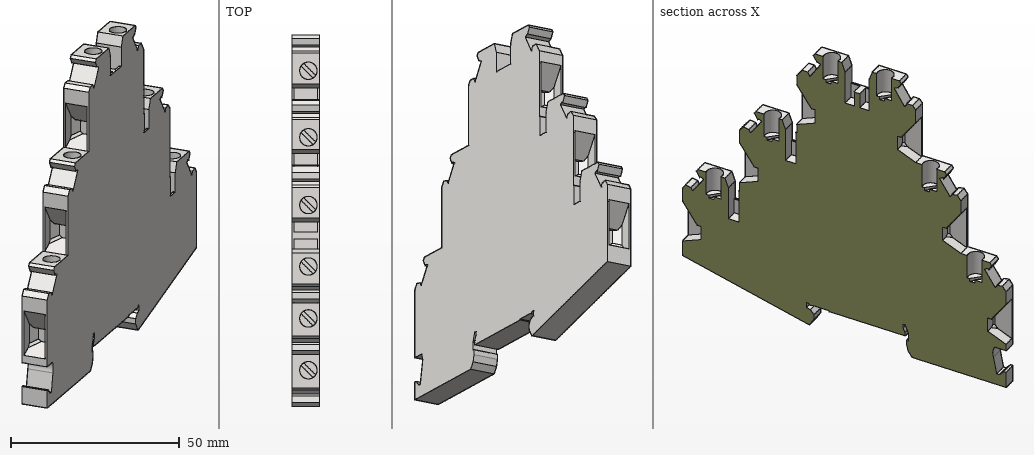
import cadquery as cq


THICKNESS = 8.15
LENGTH = 110.0
HEIGHT = 98.15

DECK_PITCH = 27.5
DECK_TOPS = [HEIGHT - step * DECK_PITCH for step in (2, 1, 0)]
FRONT_WALL_PITCH = 15.33
FRONT_WALLS = [step * FRONT_WALL_PITCH for step in (0, 1, 2)]
BACK_WALL_PITCH = 19.4
BACK_WALLS = [LENGTH - step * BACK_WALL_PITCH for step in (0, 1, 2)]

FRONT_LIP_INSETS = [4.85, 4.85, 4.9]
BACK_LIP_INSETS = [4.7, 5.0, 5.65]

LIP_PROFILE = [
    (0.65, 0.0),
    (0.0, 0.9),
    (1.1, 2.9),
    (1.4, 2.5),
    (2.4, 3.0),
    (-1.2, 8.35),
]
TOP_LIP_PROFILE = [
    (0.65, 0.0),
    (0.0, 0.9),
    (1.1, 2.75),
    (2.4, 3.3),
    (-1.1, 8.7),
]
CREST_PROFILE = [(-1.75, 7.3), (-3.6, 6.95)]
TOP_CREST_PROFILE = [(-1.8, 7.35), (-3.8, 7.35)]
CREST_END_DEPTH = 8.6
TOP_BACK_CREST_END_DEPTH = 10.0

SLOT_DEPTH = 9.2
SLOT_TAPER_DEPTH = 3.1
SLOT_TAPER_RUN = 1.15
DECK_SLOT_WIDTH = 3.4
SLOT_WALL_SETBACK = 0.3
TOP_SLOT_FRONT = 46.65
TOP_SLOT_BACK = 54.65
POCKET_LENGTH = 3.0
POCKET_DEPTH = 5.0
SIDE_WALL = 0.65

SCREW_DIAMETER = 5.15
SCREW_X = 4.85
SCREW_DEPTH = 8.0
LIP_TO_SCREW = 5.9
DRIVER_SLOT_WIDTH = 1.1
DRIVER_SLOT_DEPTH = 1.0
DRIVER_SLOT_ANGLE = -45

WINDOW_TOP_DEPTH = 13.3
WINDOW_BOTTOM_DEPTH = DECK_PITCH
ROOF_RUN = 5.0
ROOF_END_DEPTH = 20.3
FUNNEL_RUN = 6.2
FUNNEL_FLOOR_DEPTH = 24.9
FUNNEL_MOUTH_WIDTH = 15.8
FUNNEL_END_WIDTH = 4.35
FUNNEL_CORNER_WIDTH = 0.85
FUNNEL_CORNER_HEIGHT = 0.7

FRONT_CLIP = [
    (0, 0),
    (0, 5.6),
    (0.8, 5.6),
    (2.3, 4.0),
    (3.15, 4.0),
    (4.25, 9.7),
]
FRONT_CLIP_ARC_MIDDLE = (4.45, 11.6)
FRONT_CLIP_TOP = (3.9, 13.2)
BACK_WALL_BOTTOM_Z = 10.3
RAIL_RECESS = [
    (67.3, 0.0),
    (66.8, 0.0),
    (65.2, 2.6),
    (65.2, 4.3),
    (66.5, 5.6),
    (67.8, 6.0),
    (67.8, 7.6),
    (67.2, 7.6),
    (66.5, 7.0),
    (65.9, 7.25),
    (60.2, 7.25),
    (60.2, 6.95),
    (34.3, 6.95),
    (34.3, 8.3),
    (35.0, 9.8),
    (35.0, 10.9),
    (34.3, 10.9),
    (33.3, 8.1),
    (33.3, 5.6),
    (33.9, 5.6),
    (33.9, 4.0),
    (33.4, 1.9),
]
FOOT_HEEL = (32.0, 0.0)


def clamp_points(deck, wall, inset, inward):
    """Outline of one clamp from its lip to its wall; inward is +1 at the front and -1 at the back."""
    is_top = deck == len(DECK_TOPS) - 1
    lip = TOP_LIP_PROFILE if is_top else LIP_PROFILE
    crest = TOP_CREST_PROFILE if is_top else CREST_PROFILE
    end_depth = TOP_BACK_CREST_END_DEPTH if is_top and inward < 0 else CREST_END_DEPTH
    top = DECK_TOPS[deck]
    points = [(wall + inward * (inset + run), top - depth) for run, depth in lip + crest]
    return points + [(wall, top - end_depth)]


def deck_slot_points(deck):
    """Bridge slot between a back clamp and the wall of the deck above it."""
    top = DECK_TOPS[deck]
    wall = BACK_WALLS[deck + 1]
    slot_front = wall + SLOT_WALL_SETBACK
    slot_back = slot_front + DECK_SLOT_WIDTH
    return [
        (wall, top - SLOT_TAPER_DEPTH),
        (slot_front, top - SLOT_TAPER_DEPTH),
        (slot_front, top - SLOT_DEPTH),
        (slot_back, top - SLOT_DEPTH),
        (slot_back, top - SLOT_TAPER_DEPTH),
        (slot_back + SLOT_TAPER_RUN, top),
    ]


def top_slot_points():
    """Wide bridge slot between the two top clamps."""
    taper_z = HEIGHT - SLOT_TAPER_DEPTH
    floor_z = HEIGHT - SLOT_DEPTH
    return [
        (TOP_SLOT_FRONT - SLOT_TAPER_RUN, HEIGHT),
        (TOP_SLOT_FRONT, taper_z),
        (TOP_SLOT_FRONT, floor_z),
        (TOP_SLOT_BACK, floor_z),
        (TOP_SLOT_BACK, taper_z),
        (TOP_SLOT_BACK + SLOT_TAPER_RUN, HEIGHT),
    ]


def side_outline():
    """Stepped side outline, from the front clip up over the clamps and back along the rail foot."""
    upper = [(0, FRONT_CLIP_TOP[1])]
    for deck, wall in enumerate(FRONT_WALLS):
        if deck > 0:
            upper.append((wall, DECK_TOPS[deck - 1]))
        upper += reversed(clamp_points(deck, wall, FRONT_LIP_INSETS[deck], 1))
    upper += top_slot_points()
    for deck in reversed(range(len(BACK_WALLS))):
        upper += clamp_points(deck, BACK_WALLS[deck], BACK_LIP_INSETS[deck], -1)
        if deck > 0:
            upper += deck_slot_points(deck - 1)
    upper.append((LENGTH, BACK_WALL_BOTTOM_Z))

    outline = cq.Workplane("YZ").polyline(FRONT_CLIP)
    outline = outline.threePointArc(FRONT_CLIP_ARC_MIDDLE, FRONT_CLIP_TOP)
    for point in upper + RAIL_RECESS + [FOOT_HEEL]:
        outline = outline.lineTo(*point)
    return outline.close()


def screw_hole(y, top):
    """Round hole that ends on a screw head with a diagonal driver slot."""
    floor = cq.Workplane("XY", origin=(SCREW_X, y, top - SCREW_DEPTH))
    hole = floor.circle(SCREW_DIAMETER / 2).extrude(SCREW_DEPTH)
    head = floor.circle(SCREW_DIAMETER / 2).extrude(-DRIVER_SLOT_DEPTH)
    slot_bar = (
        floor.transformed(rotate=(0, 0, DRIVER_SLOT_ANGLE))
        .rect(2 * SCREW_DIAMETER, DRIVER_SLOT_WIDTH)
        .extrude(-DRIVER_SLOT_DEPTH)
    )
    return hole.union(head.intersect(slot_bar))


def funnel_section(width, floor_depth):
    """Points (x, z) of a funnel section with its two lower corners cut."""
    left = SCREW_X - width / 2
    right = SCREW_X + width / 2
    return [
        (left, -WINDOW_TOP_DEPTH),
        (right, -WINDOW_TOP_DEPTH),
        (right, -floor_depth + FUNNEL_CORNER_HEIGHT),
        (right - FUNNEL_CORNER_WIDTH, -floor_depth),
        (left + FUNNEL_CORNER_WIDTH, -floor_depth),
        (left, -floor_depth + FUNNEL_CORNER_HEIGHT),
    ]


def wire_entry():
    """Wire entry into a front wall at y = 0, below a deck at z = 0."""
    chamber = (
        cq.Workplane("YZ", origin=(SIDE_WALL, 0, 0))
        .polyline(
            [
                (0, -WINDOW_TOP_DEPTH),
                (ROOF_RUN, -ROOF_END_DEPTH),
                (FUNNEL_RUN, -ROOF_END_DEPTH),
                (FUNNEL_RUN, -WINDOW_BOTTOM_DEPTH),
                (0, -WINDOW_BOTTOM_DEPTH),
            ]
        )
        .close()
        .extrude(THICKNESS - 2 * SIDE_WALL)
    )
    funnel = (
        cq.Workplane("XZ")
        .polyline(funnel_section(FUNNEL_MOUTH_WIDTH, WINDOW_BOTTOM_DEPTH))
        .close()
        .workplane(offset=-FUNNEL_RUN)
        .polyline(funnel_section(FUNNEL_END_WIDTH, FUNNEL_FLOOR_DEPTH))
        .close()
        .loft(ruled=True)
    )
    return chamber.intersect(funnel)


def pocket(y_start, length, top):
    """Rectangular pocket sunk into a bridge slot floor."""
    width = THICKNESS - 2 * SIDE_WALL
    block = cq.Workplane("XY").box(width, length, POCKET_DEPTH, centered=False)
    return block.translate((SIDE_WALL, y_start, top - SLOT_DEPTH - POCKET_DEPTH))


result = side_outline().extrude(THICKNESS)

front_entry = wire_entry()
back_entry = front_entry.mirror("XZ")
for deck, deck_top in enumerate(DECK_TOPS):
    front_wall = FRONT_WALLS[deck]
    back_wall = BACK_WALLS[deck]
    result = result.cut(front_entry.translate((0, front_wall, deck_top)))
    result = result.cut(back_entry.translate((0, back_wall, deck_top)))
    front_screw_y = front_wall + FRONT_LIP_INSETS[deck] + LIP_TO_SCREW
    back_screw_y = back_wall - BACK_LIP_INSETS[deck] - LIP_TO_SCREW
    result = result.cut(screw_hole(front_screw_y, deck_top))
    result = result.cut(screw_hole(back_screw_y, deck_top))

for deck in range(len(DECK_TOPS) - 1):
    slot_start = BACK_WALLS[deck + 1] + SLOT_WALL_SETBACK
    result = result.cut(pocket(slot_start, DECK_SLOT_WIDTH, DECK_TOPS[deck]))

for pocket_start in (TOP_SLOT_FRONT, TOP_SLOT_BACK - POCKET_LENGTH):
    result = result.cut(pocket(pocket_start, POCKET_LENGTH, HEIGHT))